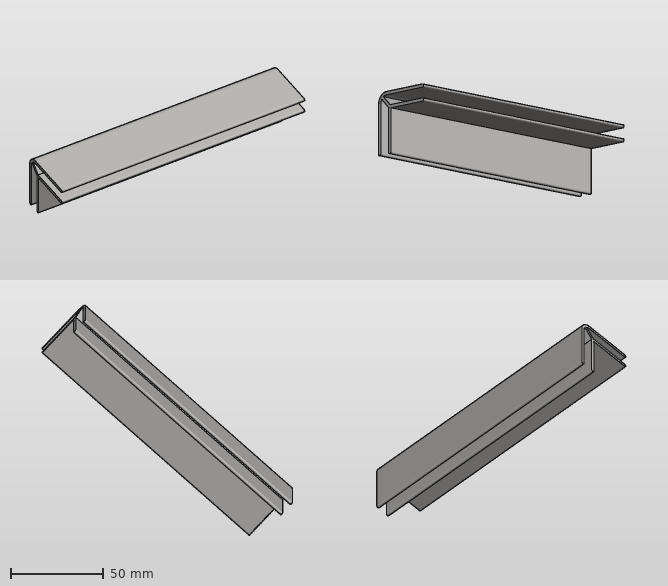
import cadquery as cq
import math

length = 152.4
leg = 34.9
wall = 1.8
inner_offset = 7.8
outer_radius = 6.4

tip_radius = wall / 2
tip_start = leg - tip_radius


def profile_plane():
    """XZ sketch plane with its origin at the sharp outer corner."""
    return cq.Workplane("XZ", origin=(-leg / 2, length / 2, leg / 2))


def angle(offset):
    """Sharp-cornered L with full-round leg tips, set in by offset from the outer corner."""
    near = offset
    far = offset + wall
    middle = offset + tip_radius
    return (
        profile_plane()
        .moveTo(near, -near)
        .lineTo(tip_start, -near)
        .threePointArc((leg, -middle), (tip_start, -far))
        .lineTo(far, -far)
        .lineTo(far, -tip_start)
        .threePointArc((middle, -leg), (near, -tip_start))
        .close()
        .extrude(length)
    )


def outer_angle():
    """Outer L with concentric rounds on both sides of its corner."""
    outer_edge = cq.selectors.NearestToPointSelector((-leg / 2, 0, leg / 2))
    inner_edge = cq.selectors.NearestToPointSelector((wall - leg / 2, 0, leg / 2 - wall))
    return (
        angle(0)
        .edges(outer_edge).fillet(outer_radius)
        .edges(inner_edge).fillet(outer_radius - wall)
    )


def diagonal_web():
    """Web on the 45 degree line, from mid-wall of the outer bend to mid-wall of the inner corner."""
    start = outer_radius - (outer_radius - wall / 2) / math.sqrt(2)
    end = inner_offset + wall / 2
    middle = (start + end) / 2
    web_length = (end - start) * math.sqrt(2)
    return (
        profile_plane()
        .center(middle, -middle)
        .transformed(rotate=(0, 0, -45))
        .rect(web_length, wall)
        .extrude(length)
    )


result = outer_angle().union(angle(inner_offset)).union(diagonal_web())